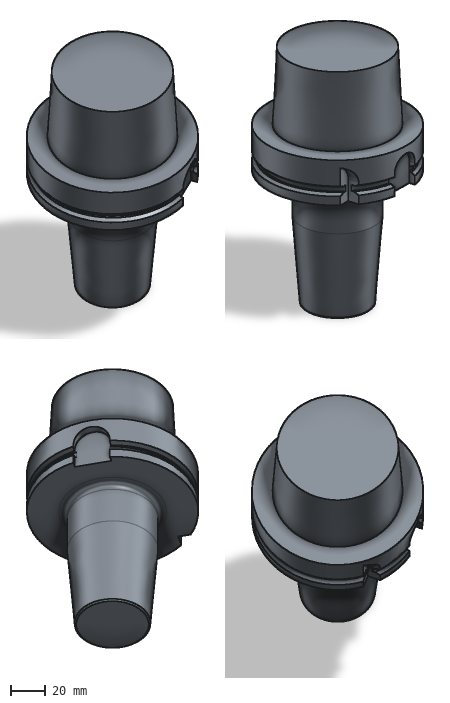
import cadquery as cq
import math

TOTAL_LENGTH = 165.0
SHANK_LENGTH = 50.0
HOLDER_BOTTOM = SHANK_LENGTH - TOTAL_LENGTH

SHANK_BASE_RADIUS = 38.0
SHANK_TAPER = 1 / 20
SHANK_TOP_RADIUS = SHANK_BASE_RADIUS - SHANK_TAPER * SHANK_LENGTH

FLANGE_RADIUS = 100.0 / 2
FLANGE_HEIGHT = 29.0
GROOVE_CENTRE = -20.0
GROOVE_FLOOR_WIDTH = 3.6
GROOVE_MOUTH_WIDTH = 6.6
GROOVE_FLOOR_RADIUS = 46.0
GROOVE_LEDGE_RADIUS = 47.5

NECK_RADIUS = 53.0 / 2
NECK_FILLET = 5.0
NECK_BOTTOM = -58.0
NOSE_RADIUS = 22.1
NOSE_CHAMFER = 1.0

SLOT_TOP = -5.0
KEY_SLOT_WIDTH = 19.8
WIDE_KEY_SLOT_WIDTH = 22.0
KEY_SLOT_FLOOR = 44.9
NOTCH_WIDTH = 19.8
NOTCH_FLOOR = 31.4
NOTCH_INNER_WALL = 31.4


def make_shank():
    """Solid tapered shank standing on the flange."""
    outline = [
        (0, 0),
        (SHANK_BASE_RADIUS, 0),
        (SHANK_TOP_RADIUS, SHANK_LENGTH),
        (0, SHANK_LENGTH),
    ]
    return cq.Workplane("XZ").polyline(outline).close().revolve(360, (0, 0), (0, 1))


def make_holder_blank():
    """Revolved flange, neck and nose, without slots."""
    mouth_half = GROOVE_MOUTH_WIDTH / 2
    floor_half = GROOVE_FLOOR_WIDTH / 2
    fillet_centre_radius = NECK_RADIUS + NECK_FILLET
    fillet_bottom = -FLANGE_HEIGHT - NECK_FILLET
    fillet_middle = (
        fillet_centre_radius - NECK_FILLET * math.sqrt(0.5),
        fillet_bottom + NECK_FILLET * math.sqrt(0.5),
    )
    return (
        cq.Workplane("XZ")
        .moveTo(0, 0)
        .lineTo(FLANGE_RADIUS, 0)
        .lineTo(FLANGE_RADIUS, GROOVE_CENTRE + mouth_half)
        .lineTo(GROOVE_LEDGE_RADIUS, GROOVE_CENTRE + floor_half)
        .lineTo(GROOVE_FLOOR_RADIUS, GROOVE_CENTRE + floor_half)
        .lineTo(GROOVE_FLOOR_RADIUS, GROOVE_CENTRE - floor_half)
        .lineTo(GROOVE_LEDGE_RADIUS, GROOVE_CENTRE - floor_half)
        .lineTo(FLANGE_RADIUS, GROOVE_CENTRE - mouth_half)
        .lineTo(FLANGE_RADIUS, -FLANGE_HEIGHT)
        .lineTo(fillet_centre_radius, -FLANGE_HEIGHT)
        .threePointArc(fillet_middle, (NECK_RADIUS, fillet_bottom))
        .lineTo(NECK_RADIUS, NECK_BOTTOM)
        .lineTo(NOSE_RADIUS, HOLDER_BOTTOM + NOSE_CHAMFER)
        .lineTo(NOSE_RADIUS - NOSE_CHAMFER, HOLDER_BOTTOM)
        .lineTo(0, HOLDER_BOTTOM)
        .close()
        .revolve(360, (0, 0), (0, 1))
    )


def slot_cutter(width, centre_y, floor_x, side):
    """Round-topped slot running outward along X; side is +1 or -1."""
    radius = width / 2
    return (
        cq.Workplane("YZ", origin=(side * floor_x, centre_y, 0))
        .moveTo(-radius, -FLANGE_HEIGHT)
        .lineTo(-radius, SLOT_TOP - radius)
        .threePointArc((0, SLOT_TOP), (radius, SLOT_TOP - radius))
        .lineTo(radius, -FLANGE_HEIGHT)
        .close()
        .extrude(side * FLANGE_RADIUS)
    )


def make_holder():
    """Holder with two opposite key slots and one orientation notch."""
    notch_centre = NOTCH_INNER_WALL + NOTCH_WIDTH / 2
    return (
        make_holder_blank()
        .cut(slot_cutter(KEY_SLOT_WIDTH, 0, KEY_SLOT_FLOOR, -1))
        .cut(slot_cutter(WIDE_KEY_SLOT_WIDTH, 0, KEY_SLOT_FLOOR, 1))
        .cut(slot_cutter(NOTCH_WIDTH, notch_centre, NOTCH_FLOOR, -1))
    )


shank = make_shank()
holder = make_holder()
result = cq.Compound.makeCompound([shank.val(), holder.val()])